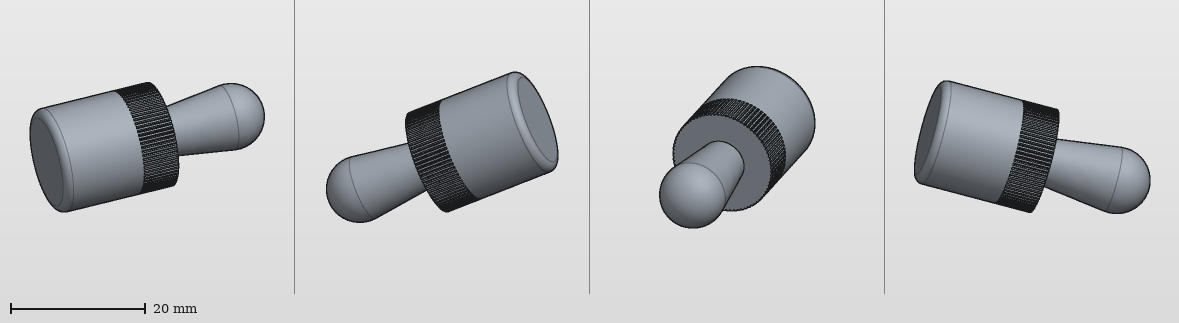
import cadquery as cq
import math

total_length = 34.35
housing_diameter = 15.87
housing_length = 17.97
end_fillet = 1.2
ball_radius = 4.98
taper_angle = math.radians(7.5)

knurl_length = 5.45
groove_count = 80
groove_depth = 0.17
groove_flank_angle = math.radians(45)
groove_overcut = 0.07

housing_radius = housing_diameter / 2
pin_length = total_length - housing_length


def make_groove_cutter():
    """Triangular prism that cuts the groove at the top (+Z) of the housing."""
    root = housing_radius - groove_depth
    rim = housing_radius + groove_overcut
    half_width = (rim - root) * math.tan(groove_flank_angle)
    return (
        cq.Workplane("XZ")
        .polyline([(0, root), (half_width, rim), (-half_width, rim)])
        .close()
        .extrude(knurl_length)
        .val()
    )


def make_housing():
    """Round body with a filleted closed end and a knurled band at the shoulder."""
    body = (
        cq.Workplane("XZ")
        .circle(housing_radius)
        .extrude(housing_length)
        .faces("<Y")
        .edges()
        .fillet(end_fillet)
    )
    cutter = make_groove_cutter()
    pitch_angle = 360 / groove_count
    grooves = [
        cutter.rotate(cq.Vector(0, 0, 0), cq.Vector(0, 1, 0), i * pitch_angle)
        for i in range(groove_count)
    ]
    return cq.Workplane("XY").newObject([body.val().cut(*grooves)]).solids()


def make_pin():
    """Pin standing on the shoulder: a cone that widens into a tangent ball end."""
    ball_centre = pin_length - ball_radius
    tangent_radius = ball_radius * math.cos(taper_angle)
    tangent_y = ball_centre - ball_radius * math.sin(taper_angle)
    foot_radius = tangent_radius - tangent_y * math.tan(taper_angle)
    return (
        cq.Workplane("XY")
        .moveTo(0, 0)
        .lineTo(foot_radius, 0)
        .lineTo(tangent_radius, tangent_y)
        .threePointArc((ball_radius, ball_centre), (0, pin_length))
        .close()
        .revolve(360, (0, 0, 0), (0, 1, 0))
    )


housing = make_housing()
pin = make_pin()

result = cq.Compound.makeCompound([housing.val(), pin.val()])